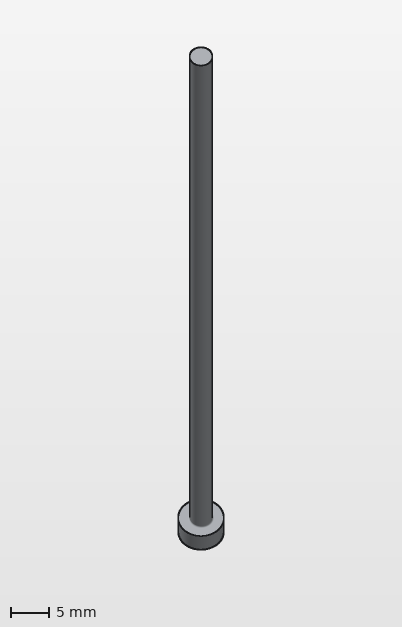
import cadquery as cq

total_length = 103.0
head_diameter = 6.0
head_height = 3.0
shaft_diameter = 3.0
root_fillet = 0.2

shaft_radius = shaft_diameter / 2
root_radius = shaft_radius + root_fillet

head = cq.Workplane("XY").circle(head_diameter / 2).extrude(head_height)

shaft = (
    cq.Workplane("XZ")
    .lineTo(root_radius, 0)
    .lineTo(root_radius, head_height)
    .radiusArc((shaft_radius, head_height + root_fillet), root_fillet)
    .lineTo(shaft_radius, total_length)
    .lineTo(0, total_length)
    .close()
    .revolve(360, (0, 0, 0), (0, 1, 0))
)

result = head.union(shaft)